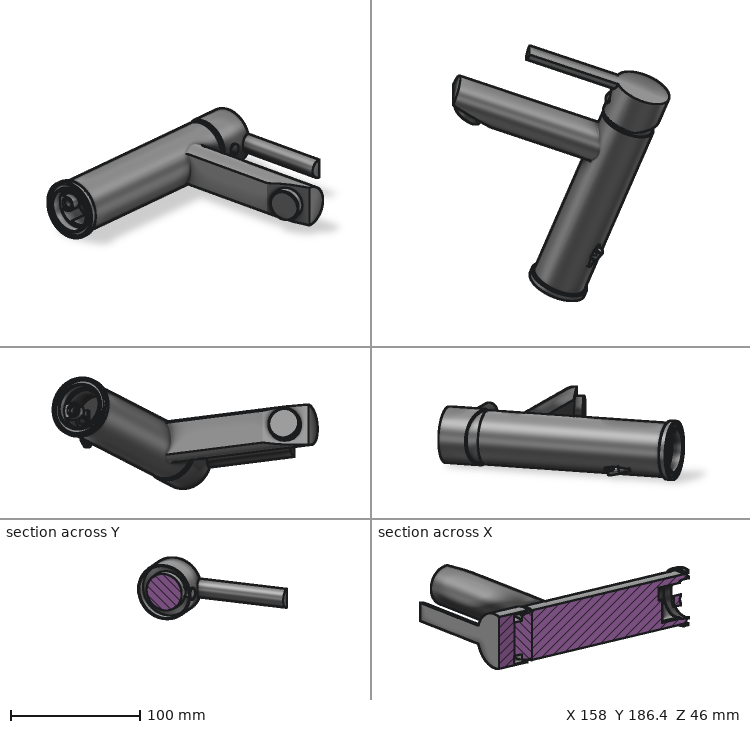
import cadquery as cq
import math

overall_length = 158.0
overall_height = 186.4

column_radius = 42.3 / 2
column_top = 154.3
base_lip_radius = 35.8 / 2
base_groove_depth = 2.2
inlet_radius = 16.8
inlet_depth = 7.8
seat_radius = 16.0
seat_depth = 1.3
chamber_radius = 15.0
chamber_floor = 29.8

lug_center_x = -9.1
lug_radius = 5.8
lug_thickness = 7.5
lug_hole_radius = 6.7 / 2
lug_sink_radius = 9.5 / 2

pad_edge_x = -5.5
pad_edge_z = 3.7
pad_height = 3.7
port_center_x = -9.9
port_center_z = -3.7
port_radius = 6.7 / 2
port_depth = 18.6

flange_radius = 46.0 / 2
flange_bottom = 0.4
flange_top = 5.8
flange_chamfer = 1.0

spout_radius = 16.0
spout_top = 143.9
spout_flat_drop = 9.7
spout_center_y = spout_top - spout_radius
spout_flat_y = spout_center_y - spout_flat_drop
spout_end_x = overall_length - flange_radius
spout_fillet = 1.0
outlet_angle = 15.5
outlet_face_run = 34.9

aerator_radius = 24.5 / 2
aerator_length = 7.3
aerator_chamfer = 0.7
aerator_distance = 17.9

dome_radius = 20.1
dome_center_y = 156.5
dome_shoulder = 164.0
neck_radius = 15.0
neck_top = 171.5

cap_radius = 22.0
cap_bottom = 157.5
cap_wall = 1.3
cap_cut_start_x = -2.8
cap_cut_angle = 20.0
lever_radius = 15.0 / 2
lever_depth = 8.0
lever_center_y = overall_height - lever_depth + lever_radius
lever_end_x = 94.0

button_radius = 9.5 / 2
button_center_y = 168.7
button_bulge = 1.9
button_inner_x = cap_radius - cap_wall

pin_azimuth = 225.0
pin_lean = 16.0
pin_shoulder_y = 40.5
pin_shaft_radius = 5.2 / 2
pin_shaft_length = 8.5
pin_head_radius = 6.7 / 2
pin_head_length = 9.0
pin_head_chamfer = 0.5
pin_eye_radius = 1.9
pin_eye_offset = 5.4
pin_pocket_length = 22.4


def along_y(y, x=0.0, z=0.0):
    """Workplane facing +Y; its local Y is -Z."""
    return cq.Workplane(cq.Plane(origin=(x, y, z), xDir=(1, 0, 0), normal=(0, 1, 0)))


def along_x(x, y):
    """Workplane facing +X, centred at height y."""
    return cq.Workplane(cq.Plane(origin=(x, y, 0), xDir=(0, 1, 0), normal=(1, 0, 0)))


def pin_plane():
    """Workplane at the pin shoulder, facing along the pin toward its head."""
    azimuth = math.radians(pin_azimuth)
    outward = math.tan(math.radians(pin_lean))
    radial_x = math.cos(azimuth)
    radial_z = math.sin(azimuth)
    return cq.Workplane(
        cq.Plane(
            origin=(column_radius * radial_x, pin_shoulder_y, column_radius * radial_z),
            xDir=(-radial_z, 0, radial_x),
            normal=(outward * radial_x, 1, outward * radial_z),
        )
    )


def outlet_plane():
    """Workplane on the oblique outlet face at the aerator centre, facing out of the spout."""
    angle = math.radians(outlet_angle)
    start_x = spout_end_x - outlet_face_run
    return cq.Workplane(
        cq.Plane(
            origin=(
                start_x + aerator_distance * math.cos(angle),
                spout_flat_y + aerator_distance * math.sin(angle),
                0,
            ),
            xDir=(0, 0, 1),
            normal=(math.sin(angle), -math.cos(angle), 0),
        )
    )


def make_spout():
    bar = along_x(0, spout_center_y).circle(spout_radius).extrude(spout_end_x)
    outlet_start_x = spout_end_x - outlet_face_run
    outlet_rise = outlet_face_run * math.tan(math.radians(outlet_angle))
    side = (
        cq.Workplane("XY")
        .workplane(offset=-spout_radius)
        .moveTo(0, spout_top)
        .lineTo(spout_end_x, spout_top)
        .lineTo(spout_end_x, spout_flat_y + outlet_rise)
        .lineTo(outlet_start_x, spout_flat_y)
        .lineTo(0, spout_flat_y)
        .close()
        .extrude(2 * spout_radius)
    )
    return bar.intersect(side)


def make_chamber():
    """Hollow of the column: stepped bore less the lug and the floor pad."""
    inlet = along_y(0).circle(inlet_radius).extrude(inlet_depth)
    seat = along_y(inlet_depth).circle(seat_radius).extrude(seat_depth)
    chamber = along_y(inlet_depth).circle(chamber_radius).extrude(chamber_floor - inlet_depth)

    lug = along_y(inlet_depth, x=lug_center_x).circle(lug_radius).extrude(lug_thickness)
    web = (
        along_y(inlet_depth, x=lug_center_x)
        .rect(2 * chamber_radius, 2 * lug_radius)
        .extrude(lug_thickness)
        .translate((-chamber_radius, 0, 0))
    )
    lug_hole = along_y(inlet_depth, x=lug_center_x).circle(lug_hole_radius).extrude(lug_thickness)
    sink_depth = lug_sink_radius - lug_hole_radius
    countersink = cq.Workplane(
        cq.Solid.makeCone(
            lug_sink_radius,
            lug_hole_radius,
            sink_depth,
            pnt=cq.Vector(lug_center_x, inlet_depth, 0),
            dir=cq.Vector(0, 1, 0),
        )
    )

    pad_top = chamber_floor - pad_height
    corner = (
        along_y(inlet_depth)
        .moveTo(pad_edge_x, -pad_edge_z)
        .rect(-seat_radius, 2 * seat_radius, centered=False)
        .extrude(chamber_floor - inlet_depth)
    )
    relief = along_y(inlet_depth).circle(seat_radius).extrude(pad_top - inlet_depth).intersect(corner)
    pad = corner.cut(relief)

    port = (
        along_y(pad_top, x=port_center_x, z=port_center_z)
        .circle(port_radius)
        .extrude(port_depth)
    )
    hollow = chamber.cut(pad).union(relief).union(seat).cut(lug.union(web))
    return inlet.union(hollow).union(lug_hole).union(countersink).union(port)


def make_column():
    barrel = along_y(base_groove_depth).circle(column_radius).extrude(column_top - base_groove_depth)
    joint_box = cq.selectors.BoxSelector(
        (0, spout_flat_y - spout_fillet, -spout_radius - spout_fillet),
        (column_radius + spout_fillet, spout_top + spout_fillet, spout_radius + spout_fillet),
        boundingbox=True,
    )
    body = barrel.union(make_spout()).edges(joint_box).fillet(spout_fillet)
    base_lip = along_y(0).circle(base_lip_radius).extrude(base_groove_depth)
    pin_pocket = pin_plane().circle(pin_head_radius).extrude(pin_pocket_length)
    pin_socket = pin_plane().circle(pin_shaft_radius).extrude(-pin_shaft_length)
    return body.union(base_lip).cut(make_chamber()).cut(pin_pocket).cut(pin_socket)


def make_flange():
    return (
        along_y(flange_bottom)
        .circle(flange_radius)
        .extrude(flange_top - flange_bottom)
        .faces(">Y")
        .chamfer(flange_chamfer)
        .cut(along_y(flange_bottom).circle(column_radius).extrude(flange_top - flange_bottom))
    )


def make_aerator():
    return outlet_plane().circle(aerator_radius).extrude(aerator_length).faces("<Y").chamfer(aerator_chamfer)


def make_dome():
    """Slice of a sphere with a narrower neck that reaches the ceiling of the cap pocket."""
    base_drop = dome_center_y - column_top
    shoulder_rise = dome_shoulder - dome_center_y
    base_radius = math.sqrt(dome_radius**2 - base_drop**2)
    shoulder_radius = math.sqrt(dome_radius**2 - shoulder_rise**2)
    return (
        cq.Workplane("XY")
        .moveTo(0, column_top)
        .lineTo(base_radius, column_top)
        .threePointArc((dome_radius, dome_center_y), (shoulder_radius, dome_shoulder))
        .lineTo(neck_radius, dome_shoulder)
        .lineTo(neck_radius, neck_top)
        .lineTo(0, neck_top)
        .close()
        .revolve(360, (0, 0), (0, 1))
    )


def make_handle():
    cap = along_y(cap_bottom).circle(cap_radius).extrude(overall_height - cap_bottom)
    lever = along_x(0, lever_center_y).circle(lever_radius).extrude(lever_end_x)
    above_cap = along_y(overall_height).rect(4 * lever_end_x, 4 * lever_radius).extrude(lever_radius)
    pocket = along_y(cap_bottom).circle(cap_radius - cap_wall).extrude(neck_top - cap_bottom)
    cut_run = cap_radius + cap_cut_start_x
    cut_rise = cut_run * math.tan(math.radians(cap_cut_angle))
    back_cut = (
        cq.Workplane("XY")
        .workplane(offset=-cap_radius)
        .moveTo(cap_cut_start_x, cap_bottom)
        .lineTo(-cap_radius, cap_bottom)
        .lineTo(-cap_radius, cap_bottom + cut_rise)
        .close()
        .extrude(2 * cap_radius)
    )
    button_hole = along_x(button_inner_x / 2, button_center_y).circle(button_radius).extrude(cap_radius)
    return cap.union(lever.cut(above_cap)).cut(pocket).cut(back_cut).cut(button_hole)


def make_button():
    """Half profile turned about the button's own axis, which is parallel to X."""
    bulge_radius = (button_radius**2 + button_bulge**2) / (2 * button_bulge)
    mid_angle = math.asin(button_radius / bulge_radius) / 2
    tip_x = cap_radius + button_bulge
    arc_middle = (
        tip_x - bulge_radius * (1 - math.cos(mid_angle)),
        button_center_y + bulge_radius * math.sin(mid_angle),
    )
    return (
        cq.Workplane("XY")
        .moveTo(button_inner_x, button_center_y)
        .lineTo(button_inner_x, button_center_y + button_radius)
        .lineTo(cap_radius, button_center_y + button_radius)
        .threePointArc(arc_middle, (tip_x, button_center_y))
        .close()
        .revolve(360, (button_inner_x, button_center_y), (tip_x, button_center_y))
    )


def make_pin():
    head = pin_plane().circle(pin_head_radius).extrude(pin_head_length).faces(">Y").chamfer(pin_head_chamfer)
    shaft = pin_plane().circle(pin_shaft_radius).extrude(-pin_shaft_length)
    eye_start = pin_plane().workplane(offset=pin_eye_offset).plane
    eye = (
        cq.Workplane(cq.Plane(origin=eye_start.origin, xDir=eye_start.zDir, normal=eye_start.xDir))
        .circle(pin_eye_radius)
        .extrude(pin_head_radius, both=True)
    )
    return head.union(shaft).cut(eye)


column = make_column()
flange = make_flange()
aerator = make_aerator()
dome = make_dome()
handle = make_handle()
button = make_button()
pin = make_pin()

result = cq.Compound.makeCompound(
    [
        column.val(),
        flange.val(),
        aerator.val(),
        dome.val(),
        handle.val(),
        button.val(),
        pin.val(),
    ]
)